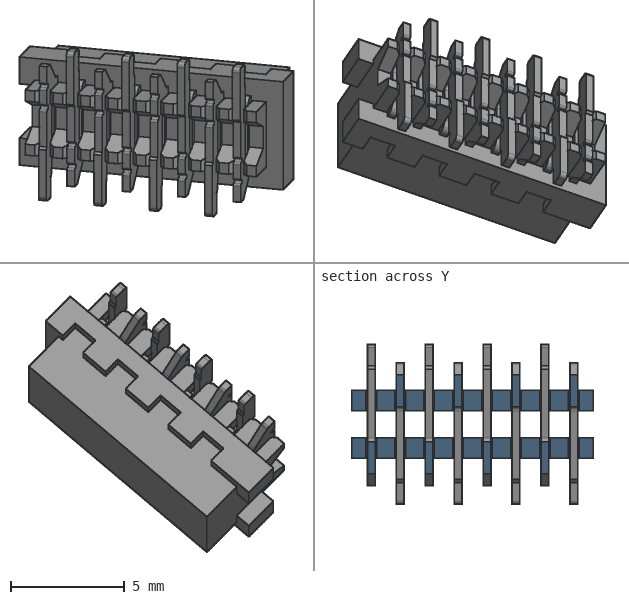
import cadquery as cq
import math


block_length = 10.61
block_height = 3.99
block_back = 3.53
flange_length = 12.1
flange_offset = 0.02
flange_height = 5.0
flange_depth = 1.6
end_gap_height = 2.5

notch_width = 1.2
notch_depth = 0.8

contact_count = 8
pitch = 1.27
contact_thickness = 0.35

comb_front = -1.49
comb_height = 3.0
slot_width = 0.45
tooth_chamfer = 0.19
valley_floor = -0.46
valley_mouth_height = 2.0
valley_floor_height = 1.0

tail_front = -1.72
tail_back = -1.02
tail_end = -7.0 / 2
tail_front_radius = 0.2
tail_back_radius = 0.12
stem_front = -1.61
stem_back = -0.92
step_low = -1.1
step_high = -0.99
back_step_low = -2.57
back_step_high = -2.42
head_top = 2.71
shoulder_height = 1.79
shoulder_corner = -0.25
shoulder_radius = 0.18
head_radius = 0.18
base_front = -0.55
base_bottom = -1.72
base_radius = 0.44
bend_centre = 0.59
groove_heights = (1.79, 0.8)
groove_depth = 0.22
groove_radius = 0.08
groove_lip = 0.1

contact_places = [(i - (contact_count - 1) / 2) * pitch for i in range(contact_count)]
down_places = contact_places[0::2]
up_places = contact_places[1::2]


def box(x_range, y_range, z_range):
    """Axis-aligned box from pairs of limits."""
    size = [high - low for low, high in (x_range, y_range, z_range)]
    return cq.Workplane("XY").box(*size, centered=False).translate((x_range[0], y_range[0], z_range[0]))


def centred(length, middle=0.0):
    """Pair of limits of the given length about a middle."""
    return (middle - length / 2, middle + length / 2)


def make_flange():
    flange = box(centred(flange_length, flange_offset), (0, flange_depth), centred(flange_height))
    flange_left = flange_offset - flange_length / 2
    flange = flange.cut(box((flange_left, -block_length / 2), (0, flange_depth), centred(end_gap_height)))
    notch_y = (flange_depth - notch_depth, flange_depth)
    for x in up_places:
        flange = flange.cut(box(centred(notch_width, x), notch_y, (0, flange_height / 2)))
    for x in down_places:
        flange = flange.cut(box(centred(notch_width, x), notch_y, (-flange_height / 2, 0)))
    return flange


def make_comb():
    comb = box(centred(block_length), (comb_front, 0), centred(comb_height))
    mouth = slot_width / 2 + tooth_chamfer
    half_slot = slot_width / 2
    slot_outline = [
        (-mouth, comb_front),
        (-half_slot, comb_front + tooth_chamfer),
        (-half_slot, 0),
        (half_slot, 0),
        (half_slot, comb_front + tooth_chamfer),
        (mouth, comb_front),
    ]
    slot = cq.Workplane("XY").polyline(slot_outline).close().extrude(comb_height / 2, both=True)
    for x in contact_places:
        comb = comb.cut(slot.translate((x, 0, 0)))
    valley_outline = [
        (comb_front, -valley_mouth_height / 2),
        (comb_front, valley_mouth_height / 2),
        (valley_floor, valley_floor_height / 2),
        (valley_floor, -valley_floor_height / 2),
    ]
    valley = cq.Workplane("YZ").polyline(valley_outline).close().extrude(block_length / 2, both=True)
    return comb.cut(valley)


def make_groove(height):
    """Round-bottomed groove with rounded lips, cut into the front of the stem."""
    bottom = stem_front + groove_depth
    centre = bottom - groove_radius
    lip_y = stem_front + groove_lip
    mouth = groove_radius + groove_lip
    diagonal = math.sqrt(0.5) * groove_lip
    return (
        cq.Workplane("YZ")
        .moveTo(stem_front, height + mouth)
        .threePointArc((lip_y - diagonal, height + mouth - diagonal), (lip_y, height + groove_radius))
        .lineTo(centre, height + groove_radius)
        .threePointArc((bottom, height), (centre, height - groove_radius))
        .lineTo(lip_y, height - groove_radius)
        .threePointArc((lip_y - diagonal, height - mouth + diagonal), (stem_front, height - mouth))
        .close()
        .extrude(contact_thickness / 2, both=True)
    )


def round_edge(body, y, z, radius):
    """Fillet the edge along X nearest to the given place in the YZ plane."""
    return body.edges(cq.selectors.NearestToPointSelector((0, y, z))).fillet(radius)


def make_contact():
    """Contact with its tail pointing down, centred on X = 0."""
    bend_radius = (base_front - stem_back) / 2
    bend_middle = (base_front + stem_back) / 2
    base_arc_y = base_front + base_radius
    base_arc_z = base_bottom + base_radius
    base_diagonal = math.sqrt(0.5) * base_radius
    head_corner = shoulder_corner - (head_top - shoulder_height)
    contact = (
        cq.Workplane("YZ")
        .moveTo(0, shoulder_height)
        .lineTo(shoulder_corner, shoulder_height)
        .lineTo(head_corner, head_top)
        .lineTo(stem_front, head_top)
        .lineTo(stem_front, step_high)
        .lineTo(tail_front, step_low)
        .lineTo(tail_front, tail_end)
        .lineTo(tail_back, tail_end)
        .lineTo(tail_back, back_step_low)
        .lineTo(stem_back, back_step_high)
        .lineTo(stem_back, bend_centre)
        .threePointArc((bend_middle, bend_centre + bend_radius), (base_front, bend_centre))
        .lineTo(base_front, base_arc_z)
        .threePointArc((base_arc_y - base_diagonal, base_arc_z - base_diagonal), (base_arc_y, base_bottom))
        .lineTo(0, base_bottom)
        .close()
        .extrude(contact_thickness / 2, both=True)
    )
    contact = round_edge(contact, shoulder_corner, shoulder_height, shoulder_radius)
    contact = round_edge(contact, head_corner, head_top, head_radius)
    contact = round_edge(contact, tail_front, tail_end, tail_front_radius)
    contact = round_edge(contact, tail_back, tail_end, tail_back_radius)
    for height in groove_heights:
        contact = contact.cut(make_groove(height))
    return contact


result = box(centred(block_length), (0, block_back), centred(block_height))
result = result.union(make_flange()).union(make_comb())

down_contact = make_contact()
up_contact = down_contact.mirror("XY")
for x in down_places:
    result = result.union(down_contact.translate((x, 0, 0)))
for x in up_places:
    result = result.union(up_contact.translate((x, 0, 0)))